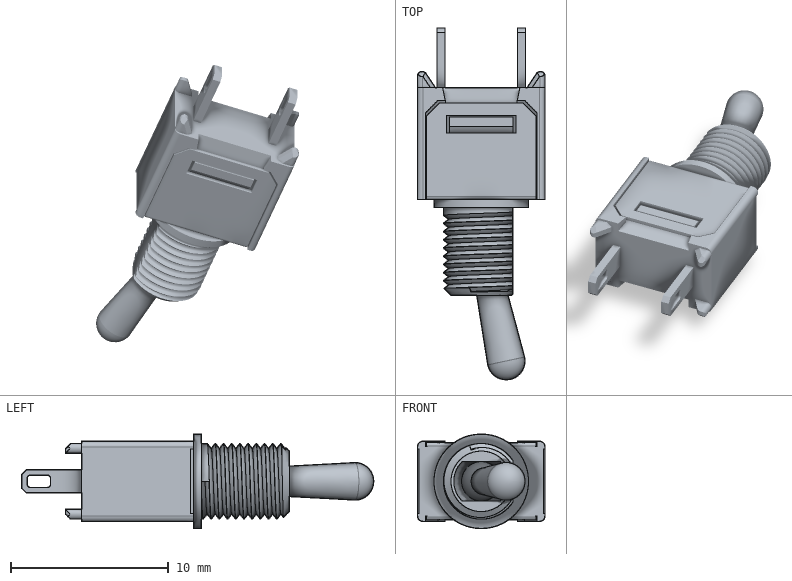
import cadquery as cq
import math


CASE_WIDTH = 8.1
CASE_HEIGHT = 5.1
CASE_LENGTH = 7.1
CASE_CORNER_RADIUS = 0.36

PANEL_DEPTH = 0.1
PANEL_HALF_WIDTH = 3.46
PANEL_LENGTH = 6.12
PANEL_CORNER_CUT = 0.8
GROOVE_DEPTH = 0.25
GROOVE_SIDE_WIDTH = 0.08
GROOVE_REAR_WIDTH = 0.18
PANEL_FRONT_RADIUS = 0.2

RAMP_START_HALF_WIDTH = 2.25
RAMP_END_HALF_WIDTH = 2.45
RAMP_DROP = 0.25

WINDOW_WIDTH = 4.4
WINDOW_FRONT = 4.24
WINDOW_REAR = 5.33
WINDOW_DEPTH = 0.3
TOOTH_WIDTH = 4.0
TOOTH_RAMP_LENGTH = 0.4
TOOTH_REAR_GAP = 0.09

SIDE_BEVEL_DEPTH = 0.1
SIDE_BEVEL_LENGTH = 0.2
SIDE_BEVEL_HEIGHT = 4.1

FOOT_TOP = 2.4
FOOT_THICKNESS = 0.63
FOOT_LENGTH = 1.03
FOOT_TIP_RADIUS = 0.3
FOOT_BASE_WIDTH = 1.15
FOOT_TIP_BEVEL = 0.33
FOOT_BRACE_BEVEL = 0.27

TERMINAL_SPACING = 5.1
TERMINAL_THICKNESS = 0.52
TERMINAL_WIDTH = 1.48
TERMINAL_LENGTH = 3.8
TERMINAL_CHAMFER = 0.3
EYE_LENGTH = 1.46
EYE_WIDTH = 0.76
EYE_END_MARGIN = 0.36
EYE_CORNER_RADIUS = 0.18

FLANGE_RADIUS = 3.0
FLANGE_THICKNESS = 0.5
BUSHING_RADIUS = 2.4
BUSHING_LENGTH = 6.08
BUSHING_CHAMFER = 0.48
KEY_FLAT_X = 2.0
THREAD_PITCH = 0.52
THREAD_DEPTH = 0.32
THREAD_START = 0.73
THREAD_TURNS = 9.8
THREAD_CREST = 0.02
THREAD_OVERCUT = 0.02
END_CLEARANCE = 0.5

PIVOT_DEPTH = 2.8
BALL_RADIUS = 1.25
LEVER_TILT = 12.0
LEVER_TAPER = 3.0
TIP_RADIUS = 1.2
TIP_DISTANCE = 7.6
BORE_MOUTH_RADIUS = 1.74

CASE_TOP = CASE_HEIGHT / 2
CASE_SIDE = CASE_WIDTH / 2
PANEL_Z = CASE_TOP - PANEL_DEPTH
GROOVE_Z = PANEL_Z - GROOVE_DEPTH
BIG = 20.0


def both_faces(feature):
    """A feature together with its mirror image on the opposite Z side."""
    return [feature, feature.mirror("XY")]


def make_case_block():
    return (
        cq.Workplane("XY")
        .box(CASE_WIDTH, CASE_LENGTH, CASE_HEIGHT, centered=(True, False, True))
        .edges("|Y")
        .fillet(CASE_CORNER_RADIUS)
    )


def make_panel_prism(bottom, height, half_width, rear):
    """Prism with its two rear corners cut off, running past the front of the case."""
    return (
        cq.Workplane("XY", origin=(0, 0, bottom))
        .polyline([
            (-half_width, -BIG),
            (half_width, -BIG),
            (half_width, rear - PANEL_CORNER_CUT),
            (half_width - PANEL_CORNER_CUT, rear),
            (PANEL_CORNER_CUT - half_width, rear),
            (-half_width, rear - PANEL_CORNER_CUT),
        ])
        .close()
        .extrude(height)
    )


def make_panel_recess():
    """Material removed above the panel and down to the floor of the groove around it."""
    opening = make_panel_prism(
        GROOVE_Z,
        CASE_TOP - GROOVE_Z,
        PANEL_HALF_WIDTH + GROOVE_SIDE_WIDTH,
        PANEL_LENGTH + GROOVE_REAR_WIDTH,
    )
    panel = make_panel_prism(GROOVE_Z, GROOVE_DEPTH, PANEL_HALF_WIDTH, PANEL_LENGTH)
    return opening.cut(panel)


def make_panel_front_round():
    """Material removed to round the front edge of the panel."""
    r = PANEL_FRONT_RADIUS
    mid = r * (1 - math.sqrt(0.5))
    return (
        cq.Workplane("YZ")
        .moveTo(0, PANEL_Z - r)
        .threePointArc((mid, PANEL_Z - mid), (r, PANEL_Z))
        .lineTo(r, CASE_TOP)
        .lineTo(0, CASE_TOP)
        .close()
        .extrude(PANEL_HALF_WIDTH, both=True)
    )


def make_rear_ramp():
    """Material removed above the ramp that falls from the groove to the rear face."""
    opening = (
        cq.Workplane("XY", origin=(0, 0, GROOVE_Z - RAMP_DROP))
        .polyline([
            (-RAMP_START_HALF_WIDTH, PANEL_LENGTH),
            (RAMP_START_HALF_WIDTH, PANEL_LENGTH),
            (RAMP_END_HALF_WIDTH, CASE_LENGTH),
            (-RAMP_END_HALF_WIDTH, CASE_LENGTH),
        ])
        .close()
        .extrude(CASE_TOP - GROOVE_Z + RAMP_DROP)
    )
    above_ramp = (
        cq.Workplane("YZ")
        .polyline([
            (PANEL_LENGTH, GROOVE_Z),
            (CASE_LENGTH, GROOVE_Z - RAMP_DROP),
            (CASE_LENGTH, CASE_TOP),
            (PANEL_LENGTH, CASE_TOP),
        ])
        .close()
        .extrude(CASE_SIDE, both=True)
    )
    return opening.intersect(above_ramp)


def make_latch_window():
    """Window pocket with its tooth left standing: the tooth rises from the front, then runs flat."""
    floor = PANEL_Z - WINDOW_DEPTH
    pocket = (
        cq.Workplane("XY", origin=(0, WINDOW_FRONT, floor))
        .box(WINDOW_WIDTH, WINDOW_REAR - WINDOW_FRONT, WINDOW_DEPTH, centered=(True, False, False))
    )
    tooth = (
        cq.Workplane("YZ")
        .polyline([
            (WINDOW_FRONT, floor),
            (WINDOW_FRONT + TOOTH_RAMP_LENGTH, PANEL_Z),
            (WINDOW_REAR - TOOTH_REAR_GAP, PANEL_Z),
            (WINDOW_REAR - TOOTH_REAR_GAP, floor),
        ])
        .close()
        .extrude(TOOTH_WIDTH / 2, both=True)
    )
    return pocket.cut(tooth)


def make_side_bevel():
    """Wedge removed from the front edge of the -X side wall."""
    return (
        cq.Workplane("XY", origin=(-CASE_SIDE, 0, 0))
        .polyline([(0, 0), (SIDE_BEVEL_DEPTH, 0), (0, SIDE_BEVEL_LENGTH)])
        .close()
        .extrude(SIDE_BEVEL_HEIGHT / 2, both=True)
    )


def make_bevel_wedge(plane, size):
    """Wedge that bevels a straight edge running along the normal of the plane through its origin."""
    return cq.Workplane(plane).polyline([(0, 0), (-size, 0), (0, -size)]).close().extrude(BIG, both=True)


def make_foot():
    """Foot at the -X, +Z rear corner: a round-tipped post braced by a sloped inner side."""
    r = FOOT_TIP_RADIUS
    tip_center = (r - CASE_SIDE, CASE_LENGTH + FOOT_LENGTH - r)
    base_x = FOOT_BASE_WIDTH - CASE_SIDE
    reach_x = base_x - tip_center[0]
    reach_y = CASE_LENGTH - tip_center[1]
    side_angle = math.atan2(reach_y, reach_x) + math.acos(r / math.hypot(reach_x, reach_y))
    tangent = (tip_center[0] + r * math.cos(side_angle), tip_center[1] + r * math.sin(side_angle))
    profile = (
        cq.Workplane("XY", origin=(0, 0, FOOT_TOP - FOOT_THICKNESS))
        .moveTo(-CASE_SIDE, CASE_LENGTH)
        .lineTo(-CASE_SIDE, tip_center[1])
        .threePointArc((tip_center[0], tip_center[1] + r), tangent)
        .lineTo(base_x, CASE_LENGTH)
        .close()
        .extrude(FOOT_THICKNESS)
    )
    bar_length = 2 * FOOT_BASE_WIDTH
    rounded_bar = (
        cq.Workplane("XZ", origin=(bar_length / 2 - CASE_SIDE, CASE_LENGTH, FOOT_TOP - FOOT_THICKNESS / 2))
        .slot2D(bar_length, FOOT_THICKNESS)
        .extrude(-FOOT_LENGTH)
    )
    tip_plane = cq.Plane((0, CASE_LENGTH + FOOT_LENGTH, FOOT_TOP), (0, 1, 0), (1, 0, 0))
    brace_direction = (math.sin(side_angle), -math.cos(side_angle), 0)
    brace_plane = cq.Plane(
        (*tangent, FOOT_TOP), (math.cos(side_angle), math.sin(side_angle), 0), brace_direction
    )
    return (
        profile.intersect(rounded_bar)
        .cut(make_bevel_wedge(tip_plane, FOOT_TIP_BEVEL))
        .cut(make_bevel_wedge(brace_plane, FOOT_BRACE_BEVEL))
    )


def make_terminal(x):
    rear = CASE_LENGTH + TERMINAL_LENGTH
    blade = (
        cq.Workplane("XY", origin=(x, CASE_LENGTH, 0))
        .box(TERMINAL_THICKNESS, TERMINAL_LENGTH, TERMINAL_WIDTH, centered=(True, False, True))
        .faces(">Y")
        .edges("|X")
        .chamfer(TERMINAL_CHAMFER)
    )
    eye = (
        cq.Workplane("XY", origin=(x, rear - EYE_END_MARGIN - EYE_LENGTH / 2, 0))
        .box(TERMINAL_THICKNESS, EYE_LENGTH, EYE_WIDTH)
        .edges("|X")
        .fillet(EYE_CORNER_RADIUS)
    )
    return blade.cut(eye)


def make_thread_groove():
    """Right-handed V groove around the Z axis, starting at -X."""
    root = BUSHING_RADIUS - THREAD_DEPTH
    outer = BUSHING_RADIUS + THREAD_OVERCUT
    half_width = (THREAD_PITCH - THREAD_CREST) / 2 * (outer - root) / THREAD_DEPTH
    path = cq.Wire.makeHelix(THREAD_PITCH, THREAD_PITCH * THREAD_TURNS, root)
    return (
        cq.Workplane("XZ")
        .polyline([(root, 0), (outer, half_width), (outer, -half_width)])
        .close()
        .sweep(cq.Workplane(path), isFrenet=True)
        .rotate((0, 0, 0), (0, 0, 1), 180)
        .translate((0, 0, THREAD_START))
    )


def make_bushing():
    """Flange and threaded bushing, shaped along +Z and then turned to point toward -Y."""
    flange = cq.Workplane("XY").circle(FLANGE_RADIUS).extrude(FLANGE_THICKNESS)
    barrel = (
        cq.Workplane("XY")
        .circle(BUSHING_RADIUS)
        .extrude(BUSHING_LENGTH)
        .cut(make_thread_groove())
    )
    tapered_end = (
        cq.Workplane("XY")
        .circle(BUSHING_RADIUS + END_CLEARANCE)
        .extrude(BUSHING_LENGTH)
        .faces(">Z")
        .chamfer(BUSHING_CHAMFER + END_CLEARANCE)
    )
    key_flat = cq.Workplane("XY", origin=(KEY_FLAT_X, 0, 0)).box(BIG, BIG, BIG, centered=(False, True, True))
    return barrel.intersect(tapered_end).cut(key_flat).union(flange).rotate((0, 0, 0), (1, 0, 0), 90)


def make_lever_bore():
    """Tapered, flat-sided bore that ends in a round seat fitting the lever ball."""
    funnel = (
        cq.Workplane("XY")
        .moveTo(0, -BUSHING_LENGTH)
        .lineTo(BORE_MOUTH_RADIUS, -BUSHING_LENGTH)
        .lineTo(BALL_RADIUS, -PIVOT_DEPTH)
        .lineTo(0, -PIVOT_DEPTH)
        .close()
        .revolve(360, (0, 0, 0), (0, 1, 0))
    )
    flats = cq.Workplane("XY").box(BIG, BIG, 2 * BALL_RADIUS)
    seat = cq.Workplane("XY", origin=(0, -PIVOT_DEPTH, 0)).sphere(BALL_RADIUS)
    return funnel.intersect(flats).union(seat)


def make_housing():
    body = make_case_block()
    for make_cut in (make_panel_recess, make_panel_front_round, make_rear_ramp, make_latch_window):
        for cut in both_faces(make_cut()):
            body = body.cut(cut)
    bevel = make_side_bevel()
    body = body.cut(bevel).cut(bevel.mirror("YZ"))
    for foot in both_faces(make_foot()):
        body = body.union(foot).union(foot.mirror("YZ"))
    for side in (-1, 1):
        body = body.union(make_terminal(side * TERMINAL_SPACING / 2))
    return body.union(make_bushing()).cut(make_lever_bore())


def make_lever():
    """Pivot ball, tapered shaft and round tip, tilted toward +X about the pivot."""
    taper = math.tan(math.radians(LEVER_TAPER))
    pivot_radius = TIP_RADIUS - TIP_DISTANCE * taper
    neck_distance = (
        math.sqrt(BALL_RADIUS ** 2 * (1 + taper ** 2) - pivot_radius ** 2) - pivot_radius * taper
    ) / (1 + taper ** 2)
    neck_radius = pivot_radius + neck_distance * taper
    return (
        cq.Workplane("XY")
        .moveTo(0, BALL_RADIUS)
        .threePointArc((BALL_RADIUS, 0), (neck_radius, -neck_distance))
        .lineTo(TIP_RADIUS, -TIP_DISTANCE)
        .radiusArc((0, -TIP_DISTANCE - TIP_RADIUS), TIP_RADIUS)
        .close()
        .revolve(360, (0, 0, 0), (0, 1, 0))
        .rotate((0, 0, 0), (0, 0, 1), LEVER_TILT)
        .translate((0, -PIVOT_DEPTH, 0))
    )


housing = make_housing()
lever = make_lever()

result = cq.Compound.makeCompound([housing.solids().val(), lever.solids().val()])